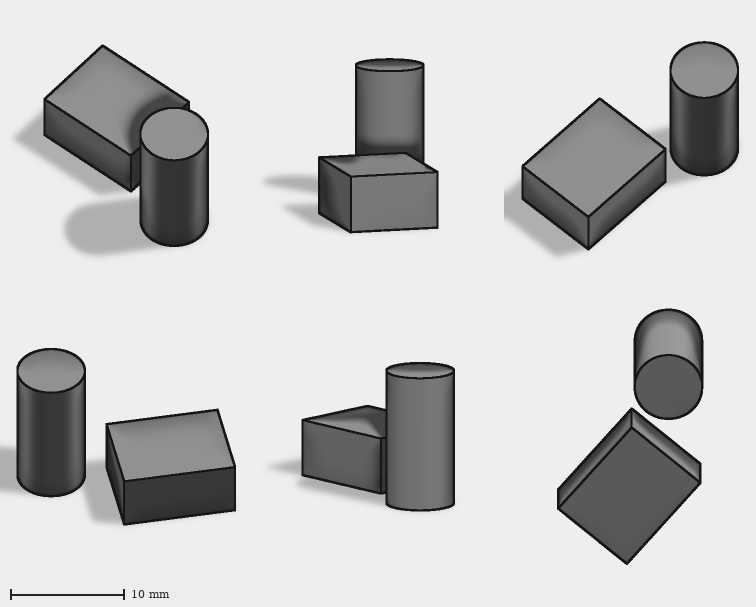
import cadquery as cq

block_length = 10.0
block_width = 8.0
block_height = 5.0
pin_diameter = 6.0
pin_height = 12.0
gap = 2.0

pin_x = block_length + gap + pin_diameter / 2
pin_y = 0


def make_block():
    """Rectangular block with its lower -X, -Y corner at the origin."""
    return cq.Workplane("XY").box(block_length, block_width, block_height, centered=False)


def make_pin():
    """Upright cylinder standing on the same base plane as the block."""
    return cq.Workplane("XY").center(pin_x, pin_y).circle(pin_diameter / 2).extrude(pin_height)


block = make_block()
pin = make_pin()

result = cq.Compound.makeCompound([block.val(), pin.val()])